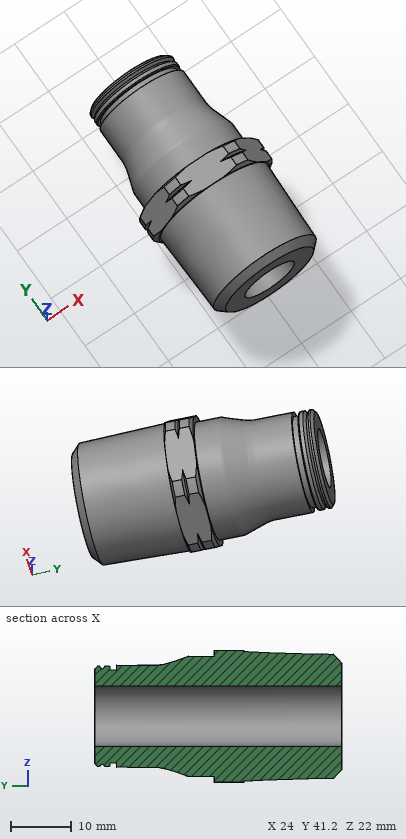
import cadquery as cq
import math

length = 41.2
bore_diameter = 10.0

thread_end_radius = 8.9
thread_chamfer_length = 1.4
thread_start_radius = 10.4
thread_taper = 1 / 32

hex_start_y = 16.3
hex_end_y = 21.3
hex_across_flats = 22.0
hex_corner_diameter = 24.0
hex_face_diameter = 22.32
hex_chamfer_angle = 30.0
hex_groove_half_width = 0.37
hex_groove_depth = 0.6

body_radius = 10.05
cone_start_y = 25.55
cone_end_y = 30.2
cone_start_blend = 1.3
cone_end_blend = 3.7

spigot_radius = 8.53
clip_groove_start_y = 37.55
clip_groove_end_y = 38.6
clip_groove_radius = 7.8
collar_radius = 8.4
collar_inner_chamfer = (0.12, 0.2)
collar_end_chamfer = (0.55, 0.5)
v_groove_y = 39.9
v_groove_half_width = 0.45
v_groove_depth = 0.5


def revolve_about_y(profile_points):
    """Revolve a closed (radius, y) outline a full turn about the Y axis."""
    outline = cq.Workplane("XY").polyline(profile_points).close()
    return outline.revolve(360, (0, 0, 0), (0, 1, 0))


def make_thread():
    """Plain cone in place of the thread, widening towards the hexagon."""
    thread_length = hex_start_y - thread_chamfer_length
    thread_large_radius = thread_start_radius + thread_taper * thread_length
    return revolve_about_y([
        (0, 0),
        (thread_end_radius, 0),
        (thread_start_radius, thread_chamfer_length),
        (thread_large_radius, hex_start_y),
        (0, hex_start_y),
    ])


def make_hexagon():
    """Hexagon with corners on X, trimmed by a chamfered and V-grooved round envelope."""
    corner_radius = hex_corner_diameter / 2
    face_radius = hex_face_diameter / 2
    chamfer_length = (corner_radius - face_radius) * math.tan(math.radians(hex_chamfer_angle))
    groove_y = (hex_start_y + hex_end_y) / 2
    envelope = revolve_about_y([
        (0, hex_start_y),
        (face_radius, hex_start_y),
        (corner_radius, hex_start_y + chamfer_length),
        (corner_radius, groove_y - hex_groove_half_width),
        (corner_radius - hex_groove_depth, groove_y),
        (corner_radius, groove_y + hex_groove_half_width),
        (corner_radius, hex_end_y - chamfer_length),
        (face_radius, hex_end_y),
        (0, hex_end_y),
    ])
    across_corners = hex_across_flats / math.cos(math.pi / 6)
    prism = (
        cq.Workplane("XZ", origin=(0, hex_start_y, 0))
        .polygon(6, across_corners)
        .extrude(hex_start_y - hex_end_y)
    )
    return prism.intersect(envelope)


def make_body():
    """Round body, blended cone and plain part of the spigot."""
    body = revolve_about_y([
        (0, hex_end_y),
        (body_radius, hex_end_y),
        (body_radius, cone_start_y),
        (spigot_radius, cone_end_y),
        (spigot_radius, clip_groove_start_y),
        (0, clip_groove_start_y),
    ])
    half_zone = 0.05
    for y, blend_radius in ((cone_start_y, cone_start_blend), (cone_end_y, cone_end_blend)):
        blend_zone = cq.selectors.BoxSelector(
            (-length, y - half_zone, -length), (length, y + half_zone, length)
        )
        body = body.edges("%CIRCLE").edges(blend_zone).fillet(blend_radius)
    return body


def make_spigot_end():
    """Clip groove and the V-grooved collar that ends the spigot."""
    inner_radial, inner_axial = collar_inner_chamfer
    end_radial, end_axial = collar_end_chamfer
    return revolve_about_y([
        (0, clip_groove_start_y),
        (clip_groove_radius, clip_groove_start_y),
        (clip_groove_radius, clip_groove_end_y),
        (collar_radius - inner_radial, clip_groove_end_y),
        (collar_radius, clip_groove_end_y + inner_axial),
        (collar_radius, v_groove_y - v_groove_half_width),
        (collar_radius - v_groove_depth, v_groove_y),
        (collar_radius, v_groove_y + v_groove_half_width),
        (collar_radius, length - end_axial),
        (collar_radius - end_radial, length),
        (0, length),
    ])


bore = cq.Workplane("XZ").circle(bore_diameter / 2).extrude(-length)

result = (
    make_thread()
    .union(make_hexagon())
    .union(make_body())
    .union(make_spigot_end())
    .cut(bore)
)